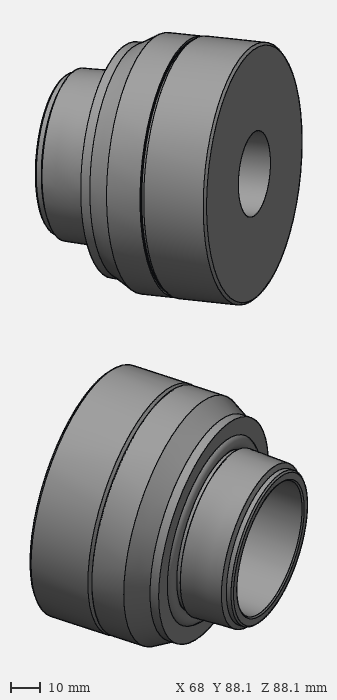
import cadquery as cq
import math


total_length = 68.0
body_radius = 88.1 / 2
body_rear_chamfer_length = 0.9
body_rear_chamfer_depth = 0.9
front_body_radius = 43.9
groove_front_x = 44.3
groove_floor_width = 0.35
groove_floor_radius = 43.2
groove_flank_length = 1.1

flange_x = 21.4
flange_radius = 79.4 / 2
flange_width = 3.3
shoulder_cone_length = 7.7

neck_radius = 56.2 / 2
ring_outer_radius = 67.1 / 2
ring_crest_x = 19.6

tip_radius = 54.8 / 2
tip_chamfer = 0.6
tip_length = 2.4
tip_flank_length = 1.0
taper_start_radius = 29.1
taper_end_radius = 29.7
taper_end_x = 18.5
lip_length = 0.7

mouth_radius = 47.6 / 2
mouth_chamfer = 0.5
mouth_depth = 35.3
bore_cone_half_angle = 60
outlet_radius = 29.0 / 2

taper_start_x = tip_length + tip_flank_length
shoulder_start_x = flange_x + flange_width
groove_flank_x = groove_front_x + groove_floor_width
bore_cone_length = (mouth_radius - outlet_radius) / math.tan(math.radians(bore_cone_half_angle))
outlet_start_x = mouth_depth + bore_cone_length

ring_section_radius = (ring_outer_radius - neck_radius) / 2
ring_centre_radius = neck_radius + ring_section_radius
ring_sunk_depth = ring_section_radius - (flange_x - ring_crest_x)
ring_half_chord = math.sqrt(ring_section_radius**2 - ring_sunk_depth**2)


def revolve_about_x(profile):
    return profile.close().revolve(360, (0, 0, 0), (1, 0, 0))


def make_body():
    profile = (
        cq.Workplane("XY")
        .moveTo(0, 0)
        .lineTo(0, tip_radius - tip_chamfer)
        .lineTo(tip_chamfer, tip_radius)
        .lineTo(tip_length, tip_radius)
        .lineTo(taper_start_x, taper_start_radius)
        .lineTo(taper_end_x, taper_end_radius)
        .lineTo(taper_end_x + lip_length, neck_radius)
        .lineTo(flange_x, neck_radius)
        .lineTo(flange_x, ring_centre_radius - ring_half_chord)
        .threePointArc(
            (ring_crest_x, ring_centre_radius),
            (flange_x, ring_centre_radius + ring_half_chord),
        )
        .lineTo(flange_x, flange_radius)
        .lineTo(shoulder_start_x, flange_radius)
        .lineTo(shoulder_start_x + shoulder_cone_length, front_body_radius)
        .lineTo(groove_front_x, front_body_radius)
        .lineTo(groove_front_x, groove_floor_radius)
        .lineTo(groove_flank_x, groove_floor_radius)
        .lineTo(groove_flank_x + groove_flank_length, body_radius)
        .lineTo(total_length - body_rear_chamfer_length, body_radius)
        .lineTo(total_length, body_radius - body_rear_chamfer_depth)
        .lineTo(total_length, 0)
    )
    return revolve_about_x(profile)


def make_bore():
    profile = (
        cq.Workplane("XY")
        .moveTo(0, 0)
        .lineTo(0, mouth_radius + mouth_chamfer)
        .lineTo(mouth_chamfer, mouth_radius)
        .lineTo(mouth_depth, mouth_radius)
        .lineTo(outlet_start_x, outlet_radius)
        .lineTo(total_length, outlet_radius)
        .lineTo(total_length, 0)
    )
    return revolve_about_x(profile)


result = make_body().cut(make_bore())